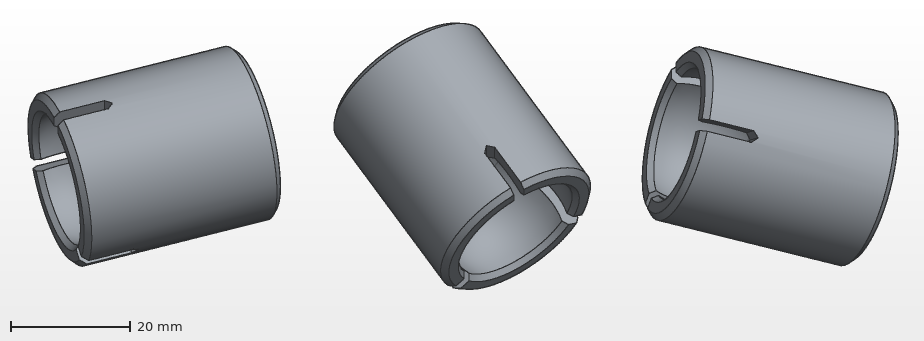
import cadquery as cq
import math

outer_diameter = 30.0
length = 35.0
edge_chamfer = 1.0

ball_radius = 12.0
ball_depth = 5.0
mouth_radius = 12.1
mouth_depth = 1.0

relief_radius = 6.6
relief_angle = 90.0

slot_count = 3
slot_width = 2.0
slot_length = 10.0
slot_tip_angle = 90.0

outer_radius = outer_diameter / 2
open_face = -length / 2
ball_centre = open_face + ball_depth


def point_height(half_base, included_angle):
    """Height of a cone or wedge point above its base."""
    return half_base / math.tan(math.radians(included_angle / 2))


def make_body():
    """Solid cylinder along Y with both rims chamfered."""
    body = cq.Workplane("XZ", origin=(0, length / 2, 0)).circle(outer_radius).extrude(length)
    return body.faces("<Y or >Y").chamfer(edge_chamfer)


def make_socket():
    """Tapered mouth, spherical seat and conical relief as one revolved cavity."""
    throat_y = open_face + mouth_depth
    throat_radius = math.sqrt(ball_radius**2 - (ball_depth - mouth_depth) ** 2)
    relief_y = ball_centre + math.sqrt(ball_radius**2 - relief_radius**2)
    cone_tip_y = relief_y + point_height(relief_radius, relief_angle)
    profile = (
        cq.Workplane("XY")
        .moveTo(0, open_face)
        .lineTo(mouth_radius, open_face)
        .lineTo(throat_radius, throat_y)
        .threePointArc((ball_radius, ball_centre), (relief_radius, relief_y))
        .lineTo(0, cone_tip_y)
        .close()
    )
    return profile.revolve(360, (0, 0, 0), (0, 1, 0))


def make_slot(angle):
    """Radial slot with a pointed inner end, turned about Y from the +Z side."""
    half_width = slot_width / 2
    tip_y = open_face + slot_length
    shoulder_y = tip_y - point_height(half_width, slot_tip_angle)
    outline = [
        (-half_width, open_face),
        (half_width, open_face),
        (half_width, shoulder_y),
        (0, tip_y),
        (-half_width, shoulder_y),
    ]
    slot = cq.Workplane("XY").polyline(outline).close().extrude(outer_radius)
    return slot.rotate((0, 0, 0), (0, 1, 0), angle)


result = make_body().cut(make_socket())
for index in range(slot_count):
    result = result.cut(make_slot(index * 360 / slot_count))